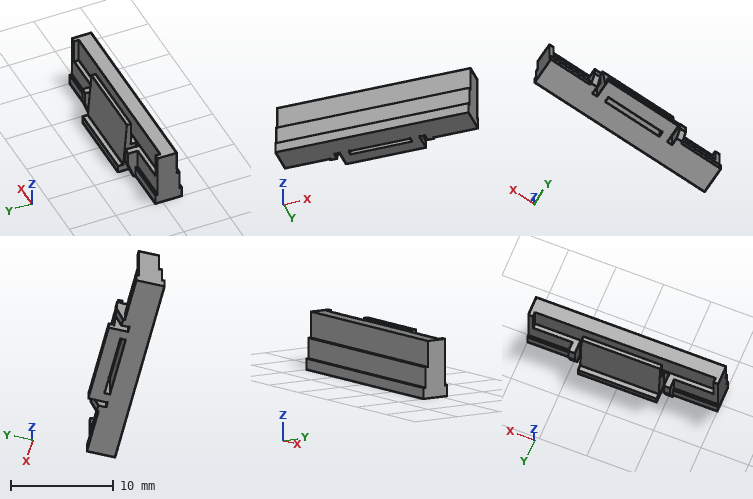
import cadquery as cq

length = 20.0
depth = 4.15
height = 5.7

foot_height = 1.1
shelf_height = 3.12

front_step = 0.25
front_wall = 0.55
recess_wall = 2.1
bay_wall = 2.22
back_wall = 2.6
foot_back = 2.85

end_tab_width = 0.5

bay_width = 9.35
post_width = 0.68
post_back = 3.62
post_bevel_height = 1.65
post_bottom_back = 3.02

latch_width = 8.28
latch_front = 2.75
latch_top_back = 3.2
latch_lip_back = 3.6
latch_lip_height = 0.78
web_width = 0.95


def extrude_along_x(points, width, x_center=0.0):
    """Extrude a (Y, Z) outline to the given width about x_center."""
    outline = cq.Workplane("YZ", origin=(x_center, 0, 0)).polyline(points).close()
    return outline.extrude(width / 2, both=True)


def block(width, y_front, y_back, z_bottom, z_top, x_center=0.0):
    """Make a rectangular block from its Y and Z limits."""
    outline = [(y_front, z_bottom), (y_back, z_bottom), (y_back, z_top), (y_front, z_top)]
    return extrude_along_x(outline, width, x_center)


def make_housing():
    """Stepped bar with an upper back recess and a full-height latch bay."""
    housing = extrude_along_x(
        [
            (0, 0),
            (foot_back, 0),
            (foot_back, foot_height),
            (back_wall, foot_height),
            (back_wall, height),
            (front_wall, height),
            (front_wall, shelf_height),
            (front_step, shelf_height),
            (front_step, foot_height),
            (0, foot_height),
        ],
        length,
    )
    recess = block(length - 2 * end_tab_width, recess_wall, depth, shelf_height, height)
    bay = block(bay_width, bay_wall, depth, 0, height)
    return housing.cut(recess).cut(bay)


def make_post(side):
    """Guard post beside the latch bay, bevelled at its lower back edge."""
    outline = [
        (bay_wall, 0),
        (post_bottom_back, 0),
        (post_back, post_bevel_height),
        (post_back, shelf_height),
        (bay_wall, shelf_height),
    ]
    return extrude_along_x(outline, post_width, side * (bay_width + post_width) / 2)


def make_web(side):
    """Web between the housing and one end of the latch."""
    x_center = side * (latch_width - web_width) / 2
    return block(web_width, recess_wall, latch_front, 0, shelf_height, x_center)


def make_latch():
    """Tapered lever with a lip along its bottom edge."""
    outline = [
        (latch_front, 0),
        (depth, 0),
        (depth, latch_lip_height),
        (latch_lip_back, latch_lip_height),
        (latch_top_back, height),
        (latch_front, height),
    ]
    return extrude_along_x(outline, latch_width)


result = make_housing().union(make_latch())
for side in (-1, 1):
    result = result.union(make_post(side)).union(make_web(side))
result = result.clean()